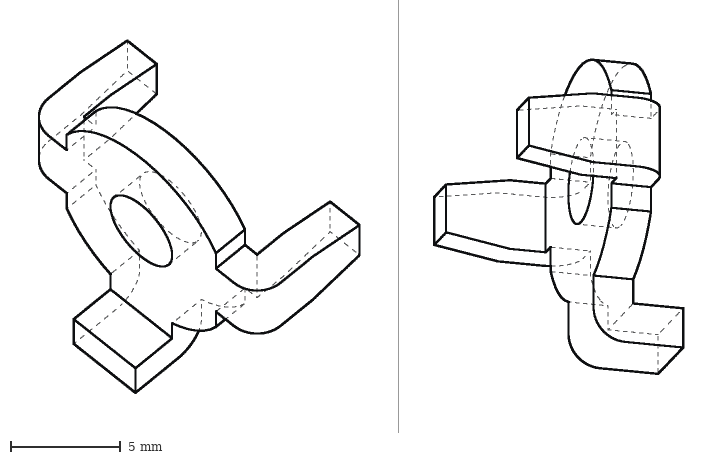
import cadquery as cq

span = 14.91
sheet = 1.9
disc_radius = 5.56
flat_width = 9.57
hole_diameter = 3.97
bend_radius = 1.5

arm_height = 3.31
arm_tip_height = 2.31
arm_depth = 6.63
arm_taper_length = 3.04

foot_width = 3.97
foot_bottom = -8.25
foot_reach = 2.39

overlap = 1.49


def make_disc():
    disc = cq.Workplane("XZ").circle(disc_radius).extrude(-sheet)
    flats = cq.Workplane("XZ").rect(flat_width, 2 * disc_radius).extrude(-sheet)
    return disc.intersect(flats)


def make_arm():
    """Right-hand arm: out along X, then bent back and tapered to its tip."""
    outer = span / 2
    inner = flat_width / 2 - overlap
    bent_strip = (
        cq.Workplane("XY")
        .moveTo(inner, 0)
        .lineTo(outer - bend_radius, 0)
        .radiusArc((outer, bend_radius), -bend_radius)
        .lineTo(outer, arm_depth)
        .lineTo(outer - sheet, arm_depth)
        .lineTo(outer - sheet, sheet)
        .lineTo(inner, sheet)
        .close()
        .extrude(arm_height / 2, both=True)
    )
    taper_start = arm_depth - arm_taper_length
    side_outline = (
        cq.Workplane("YZ")
        .polyline([
            (0, -arm_height / 2),
            (taper_start, -arm_height / 2),
            (arm_depth, -arm_tip_height / 2),
            (arm_depth, arm_tip_height / 2),
            (taper_start, arm_height / 2),
            (0, arm_height / 2),
        ])
        .close()
        .extrude(outer)
    )
    return bent_strip.intersect(side_outline)


def make_foot():
    """Lower tab: down from the disc, then bent forward."""
    top = -disc_radius + overlap
    return (
        cq.Workplane("YZ")
        .moveTo(0, top)
        .lineTo(sheet, top)
        .lineTo(sheet, foot_bottom + bend_radius)
        .radiusArc((sheet - bend_radius, foot_bottom), bend_radius)
        .lineTo(-foot_reach, foot_bottom)
        .lineTo(-foot_reach, foot_bottom + sheet)
        .lineTo(0, foot_bottom + sheet)
        .close()
        .extrude(foot_width / 2, both=True)
    )


arm = make_arm()
hole = cq.Workplane("XZ").circle(hole_diameter / 2).extrude(-sheet)

result = (
    make_disc()
    .union(arm)
    .union(arm.mirror("YZ"))
    .union(make_foot())
    .cut(hole)
)